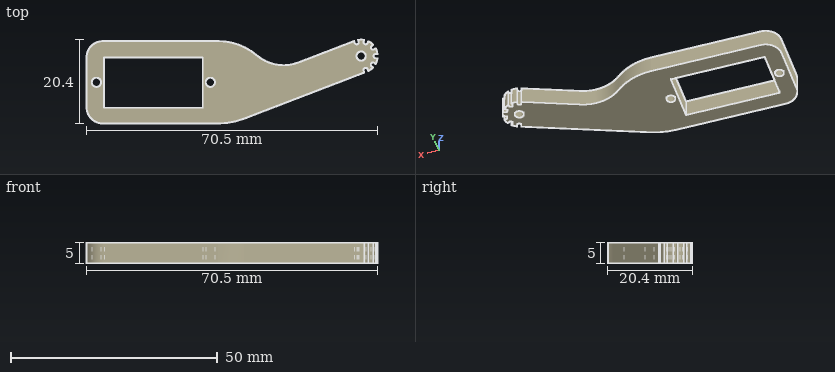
import cadquery as cq
import math

overall_length = 70.5
thickness = 5.0
handle_width = 20.0
half_width = handle_width / 2
corner_radius = 4.0

neck_start = 31.9
shoulder_radius = 14.45
hollow_radius = 10.0
arm_angle = math.radians(21)

tip_radius = 4.0
pivot_y = 6.35
hole_diameter = 2.2
tooth_count = 10
notch_numbers = range(-2, 4)
notch_width = 1.0
notch_centre_radius = 3.5
pivot_x = overall_length - math.sqrt(tip_radius**2 - (notch_width / 2) ** 2)

window_centre_x = 16.2
window_centre_y = -0.1
window_length = 23.85
window_width = 12.1
screw_spacing = 27.6


def shift(point, along, across):
    """Move a point along the arm direction and across it, to the left."""
    c, s = math.cos(arm_angle), math.sin(arm_angle)
    return point[0] + along * c - across * s, point[1] + along * s + across * c


def make_outline():
    """Plate outline, with every curve tangent to its neighbours."""
    pivot = (pivot_x, pivot_y)
    tip_lower = shift(pivot, 0, -tip_radius)
    tip_upper = shift(pivot, 0, tip_radius)
    tip_end = shift(pivot, tip_radius, 0)

    bend_corner_x = tip_lower[0] - (tip_lower[1] + half_width) / math.tan(arm_angle)
    bend_corner = (bend_corner_x, -half_width)
    bend_start = (neck_start, -half_width)
    bend_end = shift(bend_corner, bend_corner_x - neck_start, 0)

    shoulder_centre = (neck_start, half_width - shoulder_radius)
    hollow_line = shift(pivot, 0, tip_radius + hollow_radius)
    dx = shoulder_centre[0] - hollow_line[0]
    dy = shoulder_centre[1] - hollow_line[1]
    along = dx * math.cos(arm_angle) + dy * math.sin(arm_angle)
    across = -dx * math.sin(arm_angle) + dy * math.cos(arm_angle)
    centre_distance = shoulder_radius + hollow_radius
    hollow_along = along + math.sqrt(centre_distance**2 - across**2)
    hollow_centre = shift(hollow_line, hollow_along, 0)
    hollow_end = shift(hollow_centre, 0, -hollow_radius)
    share = shoulder_radius / centre_distance
    inflection = (
        shoulder_centre[0] + share * (hollow_centre[0] - shoulder_centre[0]),
        shoulder_centre[1] + share * (hollow_centre[1] - shoulder_centre[1]),
    )

    return (
        cq.Workplane("XY")
        .moveTo(corner_radius, -half_width)
        .lineTo(*bend_start)
        .tangentArcPoint(bend_end, relative=False)
        .lineTo(*tip_lower)
        .threePointArc(tip_end, tip_upper)
        .lineTo(*hollow_end)
        .tangentArcPoint(inflection, relative=False)
        .tangentArcPoint((neck_start, half_width), relative=False)
        .lineTo(corner_radius, half_width)
        .tangentArcPoint((0, half_width - corner_radius), relative=False)
        .lineTo(0, corner_radius - half_width)
        .tangentArcPoint((corner_radius, -half_width), relative=False)
        .close()
    )


def make_notch(number):
    """Round-bottomed slot cut radially into the tip."""
    length = 2 * notch_width + tip_radius - notch_centre_radius
    return (
        cq.Workplane("XY")
        .center(notch_centre_radius + length / 2 - notch_width / 2, 0)
        .slot2D(length, notch_width)
        .extrude(thickness)
        .rotate((0, 0, 0), (0, 0, 1), number * 360 / tooth_count)
        .translate((pivot_x, pivot_y, 0))
    )


plate = make_outline().extrude(thickness)

window = (
    cq.Workplane("XY")
    .center(window_centre_x, window_centre_y)
    .rect(window_length, window_width)
    .extrude(thickness)
)

hole_centres = [
    (window_centre_x - screw_spacing / 2, 0),
    (window_centre_x + screw_spacing / 2, 0),
    (pivot_x, pivot_y),
]
holes = cq.Workplane("XY").pushPoints(hole_centres).circle(hole_diameter / 2).extrude(thickness)

result = plate.cut(window).cut(holes)
for notch_number in notch_numbers:
    result = result.cut(make_notch(notch_number))